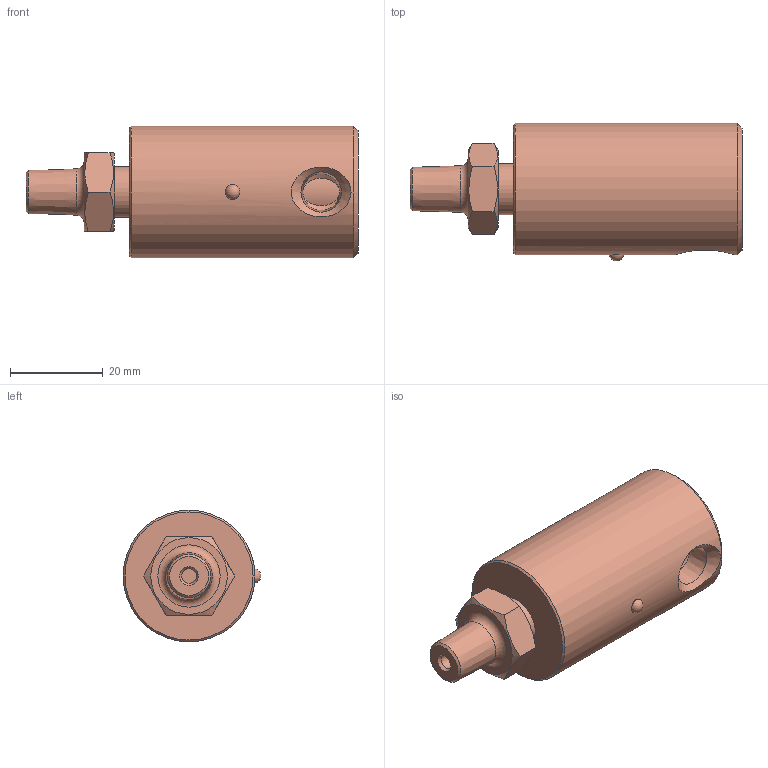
import cadquery as cq
import math

STUD_TAPER_END = 10.8
HEX_START = 12.5
HEX_LENGTH = 6.5
BODY_START = 22.28
TOTAL_LENGTH = 71.48

STUD_TIP_DIAMETER = 9.33
THREAD_TAPER = 1 / 16
STUD_TIP_CHAMFER = 0.45
BORE_DIAMETER = 3.2
BORE_CHAMFER = 0.4
BORE_CHAMFER_LENGTH = 0.7
BORE_DEPTH = 20.0

HEX_SIDES = 6
HEX_ACROSS_FLATS = 17.0
HEX_CHAMFER_DIAMETER = 16.5
HEX_CHAMFER_ANGLE = 30.0
HEX_ENVELOPE_CLEARANCE = 1.0
SHAFT_DIAMETER = 11.0

BODY_DIAMETER = 28.37
BODY_FRONT_CHAMFER = 0.4
BODY_REAR_CHAMFER = 1.05

BALL_DIAMETER = 3.2
BALL_PROTRUSION = 1.28
BALL_X = 44.45

PORT_X = 63.55
PORT_COUNTERSINK_DIAMETER = 12.86
PORT_MOUTH_DIAMETER = 8.7
PORT_DRILL_DIAMETER = 7.95
PORT_DRILL_TIP_ANGLE = 118.0
PORT_CORE_DIAMETER = 14.8

BODY_RADIUS = BODY_DIAMETER / 2
HEX_END = HEX_START + HEX_LENGTH


def rod(start, end, diameter):
    """Round bar along X."""
    return cq.Workplane("YZ", origin=(start, 0, 0)).circle(diameter / 2).extrude(end - start)


def make_stud():
    """Tapered stud that flares into the hexagon with a quarter round."""
    tip_radius = STUD_TIP_DIAMETER / 2
    root_radius = tip_radius + STUD_TAPER_END * THREAD_TAPER / 2
    flare = HEX_START - STUD_TAPER_END
    arc_inset = flare * (1 - math.cos(math.radians(45)))
    flare_middle = (HEX_START - arc_inset, root_radius + arc_inset)
    return (
        cq.Workplane("XY")
        .moveTo(0, 0)
        .lineTo(0, tip_radius - STUD_TIP_CHAMFER)
        .lineTo(STUD_TIP_CHAMFER, tip_radius + STUD_TIP_CHAMFER * THREAD_TAPER / 2)
        .lineTo(STUD_TAPER_END, root_radius)
        .threePointArc(flare_middle, (HEX_START, root_radius + flare))
        .lineTo(HEX_START, 0)
        .close()
        .revolve(360, (0, 0, 0), (1, 0, 0))
    )


def make_hexagon():
    """Hexagon with flats at top and bottom and its corners turned off at both ends."""
    corner_diameter = HEX_ACROSS_FLATS / math.cos(math.pi / HEX_SIDES)
    face_radius = HEX_CHAMFER_DIAMETER / 2
    rim_radius = corner_diameter / 2 + HEX_ENVELOPE_CLEARANCE
    rim_inset = (rim_radius - face_radius) * math.tan(math.radians(HEX_CHAMFER_ANGLE))
    hexagon = (
        cq.Workplane("YZ", origin=(HEX_START, 0, 0))
        .polygon(HEX_SIDES, corner_diameter)
        .extrude(HEX_LENGTH)
    )
    envelope = (
        cq.Workplane("XY")
        .moveTo(HEX_START, 0)
        .lineTo(HEX_START, face_radius)
        .lineTo(HEX_START + rim_inset, rim_radius)
        .lineTo(HEX_END - rim_inset, rim_radius)
        .lineTo(HEX_END, face_radius)
        .lineTo(HEX_END, 0)
        .close()
        .revolve(360, (0, 0, 0), (1, 0, 0))
    )
    return hexagon.intersect(envelope)


def make_body():
    """Cylindrical body with a chamfer at each end."""
    body = rod(BODY_START, TOTAL_LENGTH, BODY_DIAMETER)
    body = body.faces("<X").chamfer(BODY_FRONT_CHAMFER)
    return body.faces(">X").chamfer(BODY_REAR_CHAMFER)


def make_port():
    """Countersunk, slightly tapered port with a drill-point bottom that stops at the core."""
    rim_radius = PORT_COUNTERSINK_DIAMETER / 2
    mouth_radius = PORT_MOUTH_DIAMETER / 2
    drill_radius = PORT_DRILL_DIAMETER / 2
    mouth_y = -BODY_RADIUS + (rim_radius - mouth_radius)
    drill_end_y = -PORT_CORE_DIAMETER / 2
    tip_y = drill_end_y + drill_radius / math.tan(math.radians(PORT_DRILL_TIP_ANGLE / 2))
    port = (
        cq.Workplane("XY")
        .moveTo(PORT_X, -BODY_RADIUS)
        .lineTo(PORT_X + rim_radius, -BODY_RADIUS)
        .lineTo(PORT_X + mouth_radius, mouth_y)
        .lineTo(PORT_X + drill_radius, drill_end_y)
        .lineTo(PORT_X, tip_y)
        .close()
        .revolve(360, (PORT_X, 0, 0), (PORT_X, 1, 0))
    )
    return port.cut(rod(BODY_START, TOTAL_LENGTH, PORT_CORE_DIAMETER))


def make_bore():
    """Blind bore in the stud tip with a chamfered mouth."""
    bore_radius = BORE_DIAMETER / 2
    return (
        cq.Workplane("XY")
        .moveTo(0, 0)
        .lineTo(0, bore_radius + BORE_CHAMFER)
        .lineTo(BORE_CHAMFER_LENGTH, bore_radius)
        .lineTo(BORE_DEPTH, bore_radius)
        .lineTo(BORE_DEPTH, 0)
        .close()
        .revolve(360, (0, 0, 0), (1, 0, 0))
    )


def make_ball():
    """Ball sunk into the -Y side of the body."""
    ball_y = -BODY_RADIUS - BALL_PROTRUSION + BALL_DIAMETER / 2
    return cq.Workplane("XY").sphere(BALL_DIAMETER / 2).translate((BALL_X, ball_y, 0))


shaft = rod(HEX_END, BODY_START, SHAFT_DIAMETER)
result = make_stud().union(make_hexagon()).union(shaft).union(make_body())
result = result.cut(make_port()).cut(make_bore()).union(make_ball())